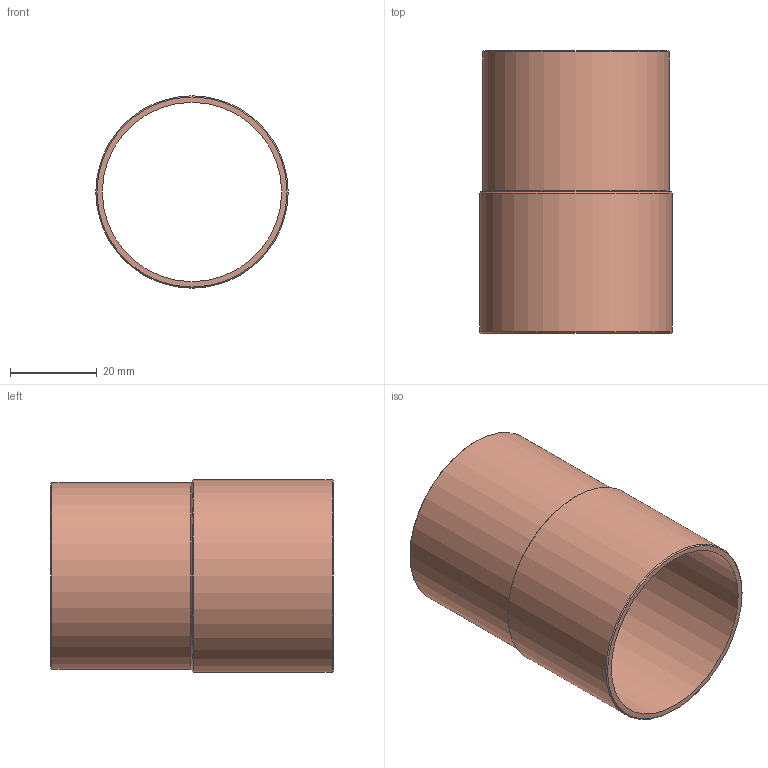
import cadquery as cq

total_length = 65.0
large_diameter = 44.3
small_diameter = 42.9
bore_diameter = 41.3
edge_chamfer = 0.27

large_radius = large_diameter / 2
small_radius = small_diameter / 2
bore_radius = bore_diameter / 2
front_y = -total_length / 2
back_y = total_length / 2
shoulder_y = 0.0


def sleeve_half_section():
    """Wall section above the axis: Y is the axial position, Z the radius."""
    return (
        cq.Workplane("YZ")
        .moveTo(front_y, bore_radius)
        .lineTo(front_y, large_radius - edge_chamfer)
        .lineTo(front_y + edge_chamfer, large_radius)
        .lineTo(shoulder_y - edge_chamfer, large_radius)
        .lineTo(shoulder_y, large_radius - edge_chamfer)
        .lineTo(shoulder_y, small_radius + edge_chamfer)
        .lineTo(shoulder_y + edge_chamfer, small_radius)
        .lineTo(back_y - edge_chamfer, small_radius)
        .lineTo(back_y, small_radius - edge_chamfer)
        .lineTo(back_y, bore_radius)
        .close()
    )


result = sleeve_half_section().revolve(360, (0, 0, 0), (1, 0, 0))